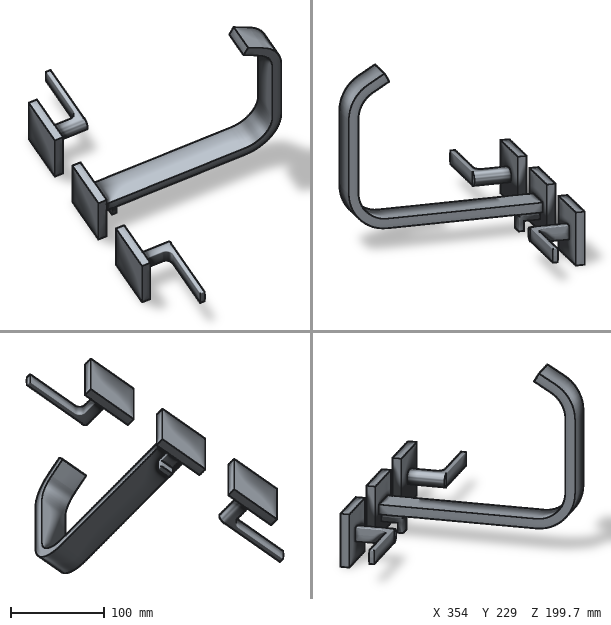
import cadquery as cq
import math

PLATE_SIZE = 60.0
PLATE_THICKNESS = 10.0
HANDLE_SPACING = 100.0

SPOUT_WIDTH = 33.0
SPOUT_THICKNESS = 11.0
SPOUT_REACH = 229.0
SPOUT_OUTER_RADIUS = 43.5
SPOUT_INNER_RADIUS = SPOUT_OUTER_RADIUS - SPOUT_THICKNESS
SPOUT_TOP = 169.72
LIP_ANGLE = 60.0
LIP_LENGTH = 21.5

HUB_RADIUS = 8.0
HANDLE_PROJECTION = 41.5
HANDLE_LENGTH = 77.0
LEVER_THICKNESS = 6.0
STEM_OFFSET = 6.5
LEVER_FILLET = 8.0

DIVERTER_WIDTH = 16.0
DIVERTER_PROJECTION = 24.2
DIVERTER_TOP = -9.95
DIVERTER_BOTTOM = -27.8
DIVERTER_ARM_THICKNESS = 6.7
DIVERTER_ARM_NARROWING = 0.2
DIVERTER_TAB_THICKNESS = 6.1

DRAFT_ANGLE = 1.0
EDGE_ROUND = 0.8
ROOT_ALLOWANCE = 2.0


def make_plate(center_x):
    """Square plate standing against the wall plane Y = 0."""
    return (
        cq.Workplane("XY")
        .box(PLATE_SIZE, PLATE_THICKNESS, PLATE_SIZE, centered=(True, False, True))
        .translate((center_x, 0, 0))
    )


def extrude_drafted(outline, half_width, mid_plane):
    """Extrude an outline both ways from its mid-plane, narrowing towards each end."""
    half = outline.extrude(half_width, taper=DRAFT_ANGLE)
    return half.union(half.mirror(mid_plane))


def make_spout():
    """Flat bar running out from the plate, up, and back over in an inclined lip."""
    lip = math.radians(LIP_ANGLE)
    half_lip = lip / 2
    underside = -SPOUT_THICKNESS / 2
    upper_face = SPOUT_THICKNESS / 2
    inner_y = SPOUT_REACH - SPOUT_THICKNESS
    bend_y = SPOUT_REACH - SPOUT_OUTER_RADIUS
    lower_bend_z = underside + SPOUT_OUTER_RADIUS
    lip_rise = SPOUT_OUTER_RADIUS * math.sin(lip) + LIP_LENGTH * math.cos(lip)
    upper_bend_z = SPOUT_TOP - lip_rise

    def on_lower_bend(radius):
        offset = radius * math.sin(math.pi / 4)
        return bend_y + offset, lower_bend_z - offset

    def on_upper_bend(radius, angle):
        return bend_y + radius * math.cos(angle), upper_bend_z + radius * math.sin(angle)

    def lip_end(radius):
        y, z = on_upper_bend(radius, lip)
        return y - LIP_LENGTH * math.sin(lip), z + LIP_LENGTH * math.cos(lip)

    return (
        cq.Workplane("YZ")
        .moveTo(PLATE_THICKNESS, underside)
        .lineTo(bend_y, underside)
        .threePointArc(on_lower_bend(SPOUT_OUTER_RADIUS), (SPOUT_REACH, lower_bend_z))
        .lineTo(SPOUT_REACH, upper_bend_z)
        .threePointArc(on_upper_bend(SPOUT_OUTER_RADIUS, half_lip), on_upper_bend(SPOUT_OUTER_RADIUS, lip))
        .lineTo(*lip_end(SPOUT_OUTER_RADIUS))
        .lineTo(*lip_end(SPOUT_INNER_RADIUS))
        .lineTo(*on_upper_bend(SPOUT_INNER_RADIUS, lip))
        .threePointArc(on_upper_bend(SPOUT_INNER_RADIUS, half_lip), (inner_y, upper_bend_z))
        .lineTo(inner_y, lower_bend_z)
        .threePointArc(on_lower_bend(SPOUT_INNER_RADIUS), (bend_y, upper_face))
        .lineTo(PLATE_THICKNESS, upper_face)
        .close()
        .extrude(SPOUT_WIDTH / 2, both=True)
    )


def make_right_handle():
    """Lever pointing towards +X, backed by a half-round hub."""
    outer_y = PLATE_THICKNESS + HANDLE_PROJECTION
    inner_y = outer_y - LEVER_THICKNESS
    root_y = PLATE_THICKNESS - ROOT_ALLOWANCE
    corner_offset = LEVER_FILLET * (1 - math.sin(math.pi / 4))
    outline = (
        cq.Workplane("XY")
        .moveTo(-ROOT_ALLOWANCE, root_y)
        .lineTo(STEM_OFFSET, root_y)
        .lineTo(STEM_OFFSET, inner_y - LEVER_FILLET)
        .threePointArc(
            (STEM_OFFSET + corner_offset, inner_y - corner_offset),
            (STEM_OFFSET + LEVER_FILLET, inner_y),
        )
        .lineTo(HANDLE_LENGTH, inner_y)
        .lineTo(HANDLE_LENGTH, outer_y)
        .lineTo(-ROOT_ALLOWANCE, outer_y)
        .close()
    )
    lever = extrude_drafted(outline, HUB_RADIUS, "XY")
    lever = lever.faces("<Z or >Z").edges().fillet(EDGE_ROUND)
    beyond_plate_and_hub = (
        cq.Workplane("XY")
        .box(HANDLE_LENGTH, HANDLE_PROJECTION, 2 * HUB_RADIUS, centered=(False, False, True))
        .translate((0, PLATE_THICKNESS, 0))
    )
    lever = lever.intersect(beyond_plate_and_hub)
    hub = (
        cq.Workplane("XZ", origin=(0, PLATE_THICKNESS, 0))
        .moveTo(0, HUB_RADIUS)
        .threePointArc((-HUB_RADIUS, 0), (0, -HUB_RADIUS))
        .close()
        .extrude(-HANDLE_PROJECTION)
    )
    return lever.union(hub).translate((HANDLE_SPACING, 0, 0))


def make_diverter():
    """Arm out of the centre plate with a tab turned down at its end."""
    outer_y = PLATE_THICKNESS + DIVERTER_PROJECTION
    tab_y = outer_y - DIVERTER_TAB_THICKNESS
    arm_bottom = DIVERTER_TOP - DIVERTER_ARM_THICKNESS
    outline = (
        cq.Workplane("YZ")
        .moveTo(PLATE_THICKNESS, DIVERTER_TOP - DIVERTER_ARM_NARROWING)
        .lineTo(outer_y, DIVERTER_TOP)
        .lineTo(outer_y, DIVERTER_BOTTOM)
        .lineTo(tab_y, DIVERTER_BOTTOM)
        .lineTo(tab_y, arm_bottom)
        .lineTo(PLATE_THICKNESS, arm_bottom + DIVERTER_ARM_NARROWING)
        .close()
    )
    diverter = extrude_drafted(outline, DIVERTER_WIDTH / 2, "YZ")
    return diverter.faces("<X or >X").edges().fillet(EDGE_ROUND)


plates = [make_plate(x) for x in (-HANDLE_SPACING, 0, HANDLE_SPACING)]
spout = make_spout()
right_handle = make_right_handle()
left_handle = right_handle.mirror("YZ")
diverter = make_diverter()

bodies = [*plates, spout, right_handle, left_handle, diverter]
result = cq.Compound.makeCompound([body.solids().val() for body in bodies])